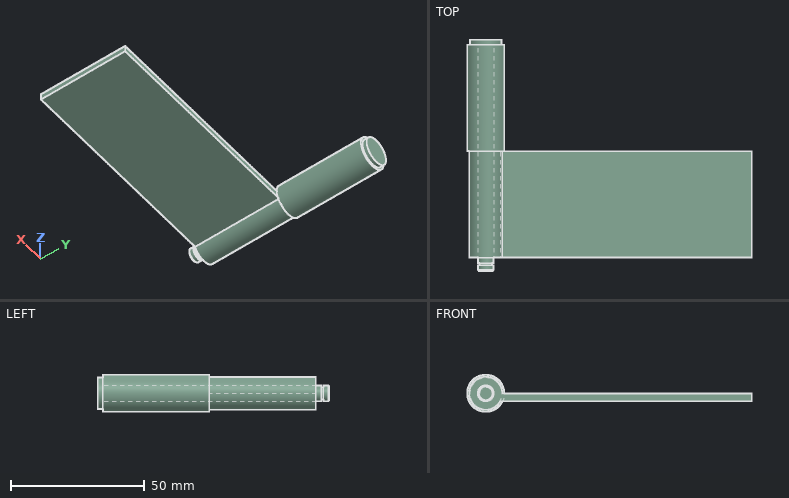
import cadquery as cq

overall_length = 107.0
barrel_diameter = 14.0
barrel_length = 40.0

knuckle_diameter = 12.4
knuckle_length = barrel_length
plate_thickness = 3.0
plate_end_x = overall_length - barrel_diameter / 2

pin_diameter = 6.0
pin_overhang = 5.0
pin_chamfer = 0.4
groove_diameter = 4.7
groove_width = 0.7
groove_offset = 2.0
head_diameter = 12.0
head_thickness = 1.9


def cylinder_along_y(diameter, start_y, length):
    """Solid cylinder on the hinge axis, growing toward +Y from start_y."""
    plane = cq.Plane(origin=(0, start_y, 0), xDir=(1, 0, 0), normal=(0, 1, 0))
    return cq.Workplane(plane).circle(diameter / 2).extrude(length)


def make_barrel():
    """Plain barrel with a through bore for the pin."""
    bore = cylinder_along_y(pin_diameter, 0, barrel_length)
    return cylinder_along_y(barrel_diameter, 0, barrel_length).cut(bore)


def make_leaf():
    """Knuckle and plate in one piece, bored for the pin."""
    knuckle = cylinder_along_y(knuckle_diameter, -knuckle_length, knuckle_length)
    plate = cq.Workplane("XY").box(
        plate_end_x, knuckle_length, plate_thickness, centered=False
    ).translate((0, -knuckle_length, -plate_thickness))
    bore = cylinder_along_y(pin_diameter, -knuckle_length, knuckle_length)
    return knuckle.union(plate).cut(bore)


def make_pin():
    """Pin with a head on the barrel end, and a ring groove and chamfer at its tip."""
    tip_y = -knuckle_length - pin_overhang
    shank = cylinder_along_y(pin_diameter, tip_y, barrel_length - tip_y)
    shank = shank.faces("<Y").chamfer(pin_chamfer)
    head = cylinder_along_y(head_diameter, barrel_length, head_thickness)

    groove_y = -knuckle_length - groove_offset - groove_width
    groove_core = cylinder_along_y(groove_diameter, groove_y, groove_width)
    groove = cylinder_along_y(pin_diameter, groove_y, groove_width).cut(groove_core)
    return shank.cut(groove).union(head)


barrel = make_barrel()
leaf = make_leaf()
pin = make_pin()

result = cq.Compound.makeCompound([barrel.solids().val(), leaf.solids().val(), pin.solids().val()])